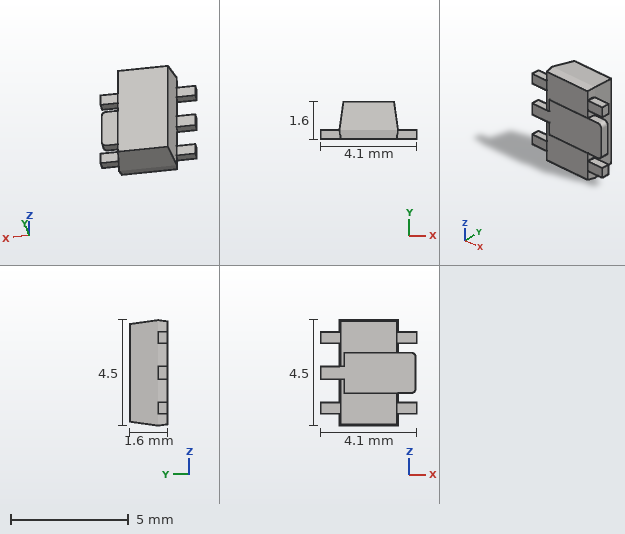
import cadquery as cq
import math

HOUSING_WIDTH = 2.5
HOUSING_LENGTH = 4.5
HOUSING_DEPTH = 1.6
DRAFT_ANGLE = 8.0

METAL_THICKNESS = 0.4
LEAD_SPAN = 4.1
LEAD_HALF_SPAN = LEAD_SPAN / 2
LEAD_WIDTH = 0.49
LEAD_PITCH = 1.5

TAB_HEIGHT = 1.73
TAB_LEFT = -1.05
TAB_RIGHT = 2.0
TAB_CORNER_RADIUS = 0.2
CENTRE_LEAD_WIDTH = 0.56

MOUNTING_FACE_HALF_WIDTH = HOUSING_WIDTH / 2 - METAL_THICKNESS * math.tan(math.radians(DRAFT_ANGLE))


def make_block(x_min, x_max, z_center, height):
    """Sheet metal block rising from the mounting face."""
    return (
        cq.Workplane("XY")
        .box(x_max - x_min, METAL_THICKNESS, height, centered=(False, False, True))
        .translate((x_min, 0, z_center))
    )


def make_corner_lead(side, row):
    """Corner lead; side and row are -1 or +1 along X and Z."""
    x_ends = sorted((side * MOUNTING_FACE_HALF_WIDTH, side * LEAD_HALF_SPAN))
    return make_block(*x_ends, row * LEAD_PITCH, LEAD_WIDTH)


def make_heat_tab():
    """Wide tab, rounded at its free end, with the centre lead on the other side."""
    plate = make_block(TAB_LEFT, TAB_RIGHT, 0, TAB_HEIGHT)
    plate = plate.edges("|Y and >X").fillet(TAB_CORNER_RADIUS)
    centre_lead = make_block(-LEAD_HALF_SPAN, TAB_LEFT, 0, CENTRE_LEAD_WIDTH)
    return plate.union(centre_lead).solids()


def make_drafted_half(normal, height):
    """Half of the housing, tapering from the parting plane along +Y or -Y."""
    parting_plane = cq.Plane(origin=(0, METAL_THICKNESS, 0), xDir=(1, 0, 0), normal=normal)
    return (
        cq.Workplane(parting_plane)
        .rect(HOUSING_WIDTH, HOUSING_LENGTH)
        .extrude(height, taper=DRAFT_ANGLE)
    )


def make_housing(inserts):
    """Both drafted halves, with a matching recess for every metal insert."""
    housing = make_drafted_half((0, -1, 0), METAL_THICKNESS).union(
        make_drafted_half((0, 1, 0), HOUSING_DEPTH - METAL_THICKNESS)
    )
    for insert in inserts:
        housing = housing.cut(insert)
    return housing.solids()


heat_tab = make_heat_tab()
corner_leads = [make_corner_lead(side, row) for side in (-1, 1) for row in (-1, 1)]
housing = make_housing([heat_tab, *corner_leads])

result = cq.Compound.makeCompound(
    [housing.val(), heat_tab.val(), *[lead.val() for lead in corner_leads]]
)